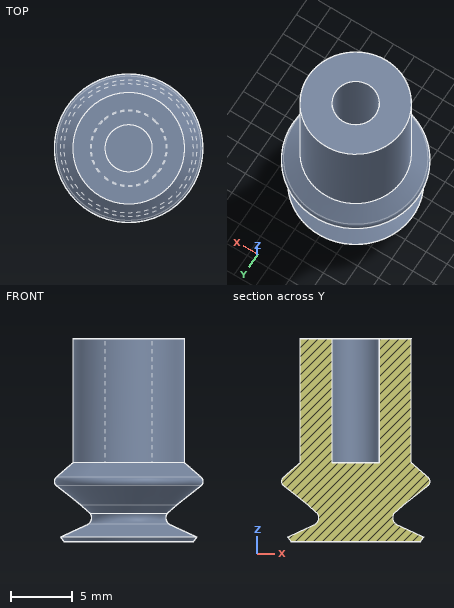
import cadquery as cq

total_height = 16.4
stem_radius = 9.0 / 2
stem_base_z = 6.4

rim_radius = 6.0
rim_z = 4.89
rim_top_radius = 5.82
rim_top_z = 5.25
rim_bottom_radius = 5.89
rim_bottom_z = 4.56

fold_edge_radius = 3.87
fold_edge_z = 2.97

throat_radius = 3.02
throat_z = 1.87
throat_top_radius = 3.1
throat_top_z = 2.28
throat_bottom_radius = 3.28
throat_bottom_z = 1.43

lip_radius = 5.51
lip_z = 0.4
lip_bottom_radius = 5.22

bore_diameter = 3.8
bore_depth = total_height - stem_base_z


def make_body():
    """Revolve the half profile, drawn as (radius, height), about Z."""
    profile = (
        cq.Workplane("XZ")
        .lineTo(lip_bottom_radius, 0)
        .lineTo(lip_radius, lip_z)
        .lineTo(throat_bottom_radius, throat_bottom_z)
        .threePointArc((throat_radius, throat_z), (throat_top_radius, throat_top_z))
        .lineTo(fold_edge_radius, fold_edge_z)
        .lineTo(rim_bottom_radius, rim_bottom_z)
        .threePointArc((rim_radius, rim_z), (rim_top_radius, rim_top_z))
        .lineTo(stem_radius, stem_base_z)
        .lineTo(stem_radius, total_height)
        .lineTo(0, total_height)
        .close()
    )
    return profile.revolve(360, (0, 0, 0), (0, 1, 0))


def cut_bore(body):
    """Sink the blind bore from the top face."""
    return body.faces(">Z").workplane().hole(bore_diameter, bore_depth)


result = cut_bore(make_body())